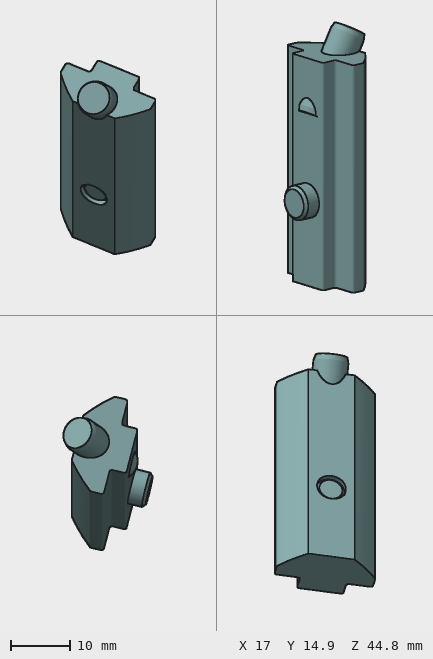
import cadquery as cq
import math

rail_height = 40.0
rail_width = 17.0
rail_depth = 9.5
neck_width = 8.0
neck_depth = 2.82
wing_side_depth = 2.3
flank_bulge = 0.2
corner_radius = 0.5
neck_edge_radius = 0.4

headed_pin_z = 15.0
tip_recess = 0.55
shank_diameter = 4.98
shank_chamfer = 0.5
head_diameter = 6.0
head_length = 3.0
head_chamfer = 0.55

slanted_pin_diameter = 6.0
slanted_pin_length = 16.15
slanted_pin_tilt = 30.0
slanted_pin_top_z = 43.45
end_taper_length = 1.0
end_taper_angle = 15.0


def make_rail_section():
    """T-shaped section with bowed front flanks, extruded along Z."""
    half_width = rail_width / 2
    half_neck = neck_width / 2
    shoulder_y = rail_depth - neck_depth
    flank_top_y = shoulder_y - wing_side_depth

    flank_run = half_width - half_neck
    flank_length = math.hypot(flank_run, flank_top_y)
    bow_x = (half_width + half_neck) / 2 + flank_bulge * flank_top_y / flank_length
    bow_y = flank_top_y / 2 - flank_bulge * flank_run / flank_length

    rail = (
        cq.Workplane("XY")
        .moveTo(-half_neck, 0)
        .lineTo(half_neck, 0)
        .threePointArc((bow_x, bow_y), (half_width, flank_top_y))
        .lineTo(half_width, shoulder_y)
        .lineTo(half_neck, shoulder_y)
        .lineTo(half_neck, rail_depth)
        .lineTo(-half_neck, rail_depth)
        .lineTo(-half_neck, shoulder_y)
        .lineTo(-half_width, shoulder_y)
        .lineTo(-half_width, flank_top_y)
        .threePointArc((-bow_x, bow_y), (-half_neck, 0))
        .close()
        .extrude(rail_height)
    )
    rail = rail.edges("|Z and >Y").fillet(neck_edge_radius)
    wing_corners = [
        (side * x, y)
        for side in (-1, 1)
        for x, y in ((half_neck, shoulder_y), (half_width, shoulder_y), (half_width, flank_top_y))
    ]
    for x, y in wing_corners:
        corner = cq.selectors.NearestToPointSelector((x, y, rail_height / 2))
        rail = rail.edges("|Z").edges(corner).fillet(corner_radius)
    return rail


def make_headed_pin():
    """Chamfered shank through the rail, with a wider head on the back face."""
    shank_length = rail_depth - tip_recess
    tip = cq.Workplane("XZ", origin=(0, tip_recess, headed_pin_z))
    shank = tip.circle(shank_diameter / 2).extrude(-shank_length).faces("<Y").chamfer(shank_chamfer)
    back = cq.Workplane("XZ", origin=(0, rail_depth, headed_pin_z))
    head = back.circle(head_diameter / 2).extrude(-head_length).faces(">Y").chamfer(head_chamfer)
    return shank.union(head)


def place_on_slant(shape):
    """Move a shape from the Z axis, upper end at the origin, to the slanted axis."""
    return shape.rotate((0, 0, 0), (1, 0, 0), slanted_pin_tilt).translate((0, 0, slanted_pin_top_z))


def make_slanted_pin():
    """Round pin with a slender taper at both ends."""
    radius = slanted_pin_diameter / 2
    end_radius = radius - end_taper_length * math.tan(math.radians(end_taper_angle))
    pin = (
        cq.Workplane("XZ")
        .moveTo(0, 0)
        .lineTo(end_radius, 0)
        .lineTo(radius, -end_taper_length)
        .lineTo(radius, end_taper_length - slanted_pin_length)
        .lineTo(end_radius, -slanted_pin_length)
        .lineTo(0, -slanted_pin_length)
        .close()
        .revolve(360, (0, 0, 0), (0, 1, 0))
    )
    return place_on_slant(pin)


def make_rail():
    """Rail with a plain bore for the shank and a seat for the slanted pin."""
    shank_bore = (
        cq.Workplane("XZ", origin=(0, 0, headed_pin_z)).circle(shank_diameter / 2).extrude(-rail_depth)
    )
    return make_rail_section().cut(shank_bore).cut(make_slanted_pin())


rail = make_rail()
headed_pin = make_headed_pin()
slanted_pin = make_slanted_pin()

bodies = [rail, headed_pin, slanted_pin]
result = cq.Compound.makeCompound([body.solids().val() for body in bodies])